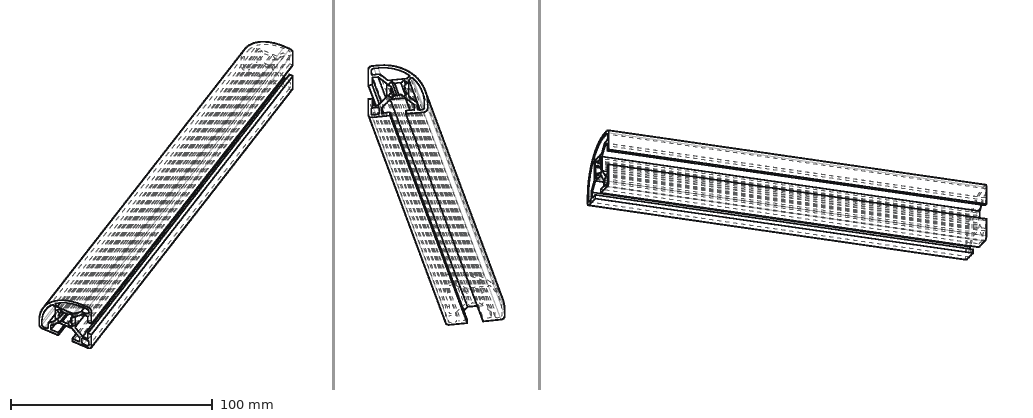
import cadquery as cq
import math

side = 30.0
length = 200.0
half = side / 2
shell_radius = 25.0
corner_radius = 2.0

shell_wall = 1.5
side_wall = 1.5
lip_wall = 2.0

slot_opening = 8.0
slot_half_width = 8.2
core_half = 5.5

slot_face_shift = 1.8
shell_cell_face_shift = 0.5
rib_face_shift = 1.0

shell_cell_floor = 9.8
shell_cell_fillet = 1.5
rib_fillet = 0.5
web_fillet = 1.5
corner_cell_start = 9.5
corner_cell_fillet = 1.0

bore_radius = 3.5
keyway_width = 2.5
keyway_length = 11.2

arc_centre_x = shell_radius - half
arc_centre_z = -arc_centre_x
inner_radius = shell_radius - shell_wall


def profile_plane():
    """Plane of the -Y end, with local x along X and local y along Z."""
    return cq.Workplane("XZ", origin=(0, -length / 2, 0))


def full_length(outline):
    return outline.extrude(-length)


def nearest_edge(x, z):
    """Selector for the lengthwise edge closest to a point of the cross-section."""
    return cq.selectors.NearestToPointSelector((x, 0, z))


def mirror_image(body):
    """Mirror a body across the X = -Z diagonal, swapping the +X and -Z sides."""
    return cq.Workplane(body.val().mirror(cq.Vector(1, 0, 1)))


def envelope():
    """Outer shape: the large arc faces -X +Z, the other three corners are rounded."""
    block = full_length(profile_plane().rect(side, side))
    block = block.edges("|Y").edges("<X").edges(">Z").fillet(shell_radius)
    for corner_x, corner_z in ((-half, -half), (half, -half), (half, half)):
        block = block.edges(nearest_edge(corner_x, corner_z)).fillet(corner_radius)
    return block


def t_slot():
    """Slot open to +X, narrowing along the sloping webs to the core."""
    lip_x = half - lip_wall
    upper_side = [
        (half, slot_opening / 2),
        (lip_x, slot_opening / 2),
        (lip_x, slot_half_width),
        (slot_half_width + slot_face_shift, slot_half_width),
        (core_half, core_half - slot_face_shift),
    ]
    lower_side = [(x, -z) for x, z in reversed(upper_side)]
    return full_length(profile_plane().polyline(upper_side + lower_side).close())


def inner_arc_point(shift):
    """Point of the inner shell arc on the line X + Z = shift."""
    across = shift / 2
    along = math.sqrt(inner_radius**2 / 2 - across**2)
    return arc_centre_x + across - along, arc_centre_z + across + along


def shell_cell():
    """Hollow under the +Z half of the shell, from the diagonal rib to the +X wall."""
    wall_x = half - side_wall
    top_z = arc_centre_z + inner_radius
    rib_end = inner_arc_point(rib_face_shift)
    web_foot = (core_half - shell_cell_face_shift, core_half)
    start_angle = math.atan2(rib_end[1] - arc_centre_z, rib_end[0] - arc_centre_x)
    middle_angle = (start_angle + math.pi / 2) / 2
    arc_middle = (
        arc_centre_x + inner_radius * math.cos(middle_angle),
        arc_centre_z + inner_radius * math.sin(middle_angle),
    )
    outline = (
        profile_plane()
        .moveTo(rib_face_shift - core_half, core_half)
        .lineTo(*rib_end)
        .threePointArc(arc_middle, (arc_centre_x, top_z))
        .lineTo(wall_x, top_z)
        .lineTo(wall_x, shell_cell_floor)
        .lineTo(shell_cell_floor - shell_cell_face_shift, shell_cell_floor)
        .lineTo(*web_foot)
        .close()
    )
    cell = full_length(outline).edges("|Y and >X").fillet(shell_cell_fillet)
    cell = cell.edges(nearest_edge(*rib_end)).fillet(rib_fillet)
    return cell.edges(nearest_edge(*web_foot)).fillet(web_fillet)


def corner_cell():
    """Square hollow in the +X -Z corner."""
    cell_end = half - side_wall
    cell_centre = (corner_cell_start + cell_end) / 2
    cell_size = cell_end - corner_cell_start
    outline = profile_plane().center(cell_centre, -cell_centre).rect(cell_size, cell_size)
    return full_length(outline).edges("|Y").fillet(corner_cell_fillet)


def core_bore():
    bore = full_length(profile_plane().circle(bore_radius))
    keyway = full_length(profile_plane().rect(keyway_length, keyway_width))
    for angle in (45, 135):
        bore = bore.union(keyway.rotate((0, 0, 0), (0, 1, 0), angle))
    return bore


result = envelope().cut(corner_cell()).cut(core_bore())
for hollow in (t_slot(), shell_cell()):
    result = result.cut(hollow).cut(mirror_image(hollow))